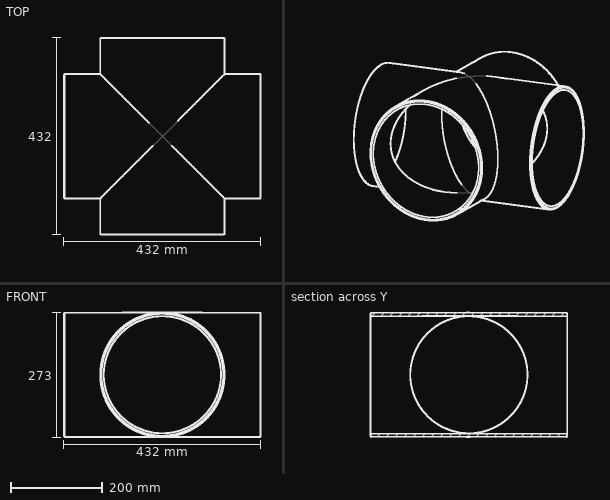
import cadquery as cq

length = 432.0
outer_diameter = 273.0
wall = 8.0
bevel_depth = 3.0
bevel_length = 1.7

inner_diameter = outer_diameter - 2 * wall
half_length = length / 2
outer_radius = outer_diameter / 2


def bevelled_bar():
    """Solid bar along Z, centred on the origin, bevelled at both ends."""
    end_radius = outer_radius - bevel_depth
    bevel_start = half_length - bevel_length
    profile = [
        (0, -half_length),
        (end_radius, -half_length),
        (outer_radius, -bevel_start),
        (outer_radius, bevel_start),
        (end_radius, half_length),
        (0, half_length),
    ]
    return cq.Workplane("XZ").polyline(profile).close().revolve(360, (0, 0), (0, 1))


def bore():
    """Through bore along Z, centred on the origin."""
    return cq.Workplane("XY").circle(inner_diameter / 2).extrude(half_length, both=True)


def cross(bar):
    """Join one copy of the bar along X with one along Y."""
    along_x = bar.rotate((0, 0, 0), (0, 1, 0), 90)
    along_y = bar.rotate((0, 0, 0), (1, 0, 0), 90)
    return along_x.union(along_y)


result = cross(bevelled_bar()).cut(cross(bore()))